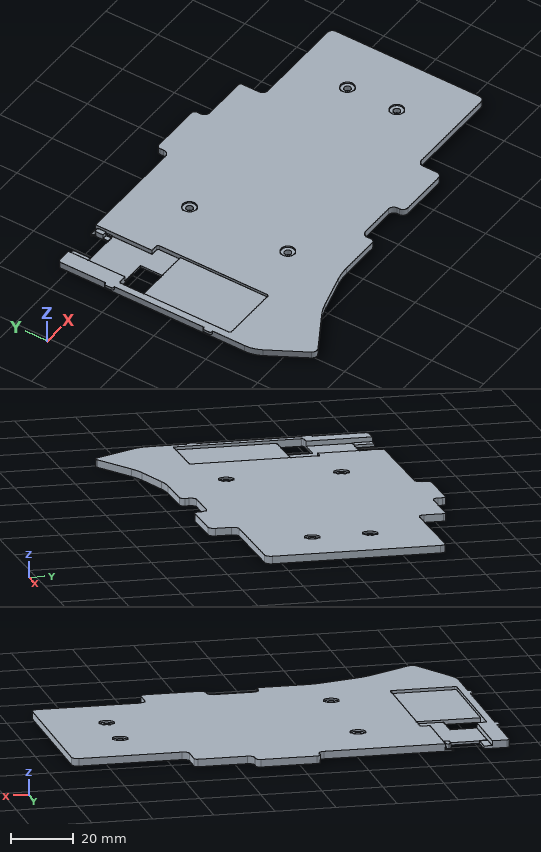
import cadquery as cq
import math

THICKNESS = 2.5
NUB_WIDTH = 3.4
NUB_PROTRUSION = 1.0
NUB_HEIGHT = 1.0
NUB_RADIUS = 0.7
OVERALL_LENGTH = 142
TONGUE_RIGHT = OVERALL_LENGTH - NUB_PROTRUSION
BODY_RIGHT = 103.3
BODY_BOTTOM = 14.3
BODY_TOP = 92.3
TONGUE_BOTTOM = 23.6
TONGUE_TOP = 83.0
TAB_LEFT = 62.9
TAB_RIGHT = 84.1
TAB_TOP = 97.2
NOTCH_LEFT = 65.0
NOTCH_RIGHT = 82.0
NOTCH_TOP = 19.2
CORNER_RADIUS = 2.0
TAB_RADIUS = 1.4
SMALL_RADIUS = 1.0

GRIP_LEFT_TOP = 17.2
GRIP_LEFT_RADIUS = 12.1
GRIP_BEND_X = 28.1
GRIP_BEND_RADIUS = 22.0
GRIP_STEEP = math.radians(60)
GRIP_RISE = math.radians(30)
GRIP_BEND_RISE = math.radians(15)
GRIP_TIP_Y = CORNER_RADIUS * (1 - math.sin(GRIP_STEEP) - math.cos(GRIP_STEEP))
GRIP_TIP_X = (GRIP_LEFT_TOP - GRIP_TIP_Y) / math.tan(GRIP_STEEP)
GRIP_BEND_Y = GRIP_TIP_Y + (GRIP_BEND_X - GRIP_TIP_X) * math.tan(GRIP_RISE)
GRIP_END_X = GRIP_BEND_X + (BODY_BOTTOM - GRIP_BEND_Y) / math.tan(GRIP_BEND_RISE)

POCKET_LEFT = 2.5
POCKET_RIGHT = 24.3
POCKET_BOTTOM = 27.5
POCKET_TOP = 70.5
POCKET_DEPTH = 1.0
POCKET_RADIUS = 0.7
WINDOW_RIGHT = 14.6
WINDOW_BOTTOM = 61.6
CHANNEL_LEFT = 5.8
CHANNEL_RIGHT = 21.2
CHANNEL_DEPTH = 1.7
MOUTH_LEFT = 8.5
MOUTH_RIGHT = 18.9
MOUTH_BOTTOM = 85.7
LEFT_LEDGE_DEPTH = 1.5
RIGHT_LEDGE_DEPTH = 2.0

LATCH_BOTTOM = 87.8
LATCH_TOP = 91.2
LATCH_DEPTH = 0.4
LATCH_RADIUS = 0.7
RAIL_LEFT = 20.6
RAIL_DEPTH = 1.4
HOOK_LEFT = 18.3
HOOK_BOTTOM = 91.6

HOLE_DIAMETER = 2.4
COUNTERBORE_DIAMETER = 5.0
COUNTERBORE_DEPTH = 0.5
LEFT_HOLE_X = 45.2
LEFT_HOLE_YS = (34.4, 72.3)
RIGHT_HOLE_X = 120.9
RIGHT_HOLE_YS = (43.8, 62.8)


def rounded_outline(corners):
    """Closed wire through (x, y, radius) corners, each rounded by a tangent arc."""
    outline = cq.Workplane()
    for index, (x, y, radius) in enumerate(corners):
        corner = cq.Vector(x, y)
        following = corners[(index + 1) % len(corners)]
        before = (cq.Vector(*corners[index - 1][:2]) - corner).normalized()
        after = (cq.Vector(*following[:2]) - corner).normalized()
        half_angle = before.getAngle(after) / 2
        tangent_length = radius / math.tan(half_angle)
        start = corner + before * tangent_length
        end = corner + after * tangent_length
        bisector = (before + after).normalized()
        middle = corner + bisector * (radius / math.sin(half_angle) - radius)
        if index == 0:
            outline = outline.moveTo(start.x, start.y)
        else:
            outline = outline.lineTo(start.x, start.y)
        outline = outline.threePointArc((middle.x, middle.y), (end.x, end.y))
    return outline.close()


def block(left, right, bottom, top, depth):
    """Box that reaches from the top face down by the given depth."""
    corner = (left, bottom, THICKNESS - depth)
    return cq.Workplane().box(right - left, top - bottom, depth, centered=False).translate(corner)


def plate():
    return rounded_outline([
        (0, GRIP_LEFT_TOP, GRIP_LEFT_RADIUS),
        (GRIP_TIP_X, GRIP_TIP_Y, CORNER_RADIUS),
        (GRIP_BEND_X, GRIP_BEND_Y, GRIP_BEND_RADIUS),
        (GRIP_END_X, BODY_BOTTOM, GRIP_BEND_RADIUS),
        (NOTCH_LEFT, BODY_BOTTOM, TAB_RADIUS),
        (NOTCH_LEFT, NOTCH_TOP, CORNER_RADIUS),
        (NOTCH_RIGHT, NOTCH_TOP, CORNER_RADIUS),
        (NOTCH_RIGHT, BODY_BOTTOM, CORNER_RADIUS),
        (BODY_RIGHT, BODY_BOTTOM, CORNER_RADIUS),
        (BODY_RIGHT, TONGUE_BOTTOM, CORNER_RADIUS),
        (TONGUE_RIGHT, TONGUE_BOTTOM, CORNER_RADIUS),
        (TONGUE_RIGHT, TONGUE_TOP, CORNER_RADIUS),
        (BODY_RIGHT, TONGUE_TOP, CORNER_RADIUS),
        (BODY_RIGHT, BODY_TOP, SMALL_RADIUS),
        (TAB_RIGHT, BODY_TOP, CORNER_RADIUS),
        (TAB_RIGHT, TAB_TOP, TAB_RADIUS),
        (TAB_LEFT, TAB_TOP, TAB_RADIUS),
        (TAB_LEFT, BODY_TOP, CORNER_RADIUS),
        (0, BODY_TOP, SMALL_RADIUS),
    ]).extrude(THICKNESS)


def side_nubs():
    """Rounded nubs on the left edge, level with the left screw holes."""
    nubs = cq.Workplane()
    for y in LEFT_HOLE_YS:
        nub = block(-NUB_PROTRUSION, NUB_PROTRUSION, y - NUB_WIDTH / 2, y + NUB_WIDTH / 2, NUB_HEIGHT)
        nubs = nubs.add(nub.edges("|Z and <X").fillet(NUB_RADIUS))
    return nubs.combine()


def recess():
    """Everything cut from the top: pocket, window, channel and the open mouth with its ledges."""
    pocket = block(POCKET_LEFT, POCKET_RIGHT, POCKET_BOTTOM, POCKET_TOP, POCKET_DEPTH)
    pocket = pocket.edges("|Z").fillet(POCKET_RADIUS)
    deep = block(POCKET_LEFT, POCKET_RIGHT, WINDOW_BOTTOM, POCKET_TOP, CHANNEL_DEPTH)
    deep = deep.edges("|Z and >Y").fillet(POCKET_RADIUS)
    window = block(POCKET_LEFT, WINDOW_RIGHT, WINDOW_BOTTOM, POCKET_TOP, THICKNESS)
    window = window.edges("|Z and <X and >Y").fillet(POCKET_RADIUS)
    channel = block(CHANNEL_LEFT, CHANNEL_RIGHT, POCKET_TOP, MOUTH_BOTTOM, CHANNEL_DEPTH)
    left_ledge = block(CHANNEL_LEFT, MOUTH_LEFT, MOUTH_BOTTOM, BODY_TOP, LEFT_LEDGE_DEPTH)
    right_ledge = block(MOUTH_RIGHT, CHANNEL_RIGHT, MOUTH_BOTTOM, BODY_TOP, RIGHT_LEDGE_DEPTH)
    mouth = block(MOUTH_LEFT, MOUTH_RIGHT, MOUTH_BOTTOM, BODY_TOP, THICKNESS)
    cutter = pocket
    for pocket_part in (deep, window, channel, left_ledge, right_ledge, mouth):
        cutter = cutter.union(pocket_part)
    return cutter


def raised_block(left, right, bottom, top, top_depth):
    """Box that stands on the bottom face and ends the given depth below the top face."""
    return (
        cq.Workplane()
        .box(right - left, top - bottom, THICKNESS - top_depth, centered=False)
        .translate((left, bottom, 0))
    )


def latch():
    """Round-ended latch block, the rail behind it and the hook at the open end of the mouth."""
    body = raised_block(MOUTH_RIGHT, RAIL_LEFT, LATCH_BOTTOM, LATCH_TOP, LATCH_DEPTH)
    body = body.edges("|Z and >Y").fillet(LATCH_RADIUS)
    rail = raised_block(RAIL_LEFT, CHANNEL_RIGHT, MOUTH_BOTTOM, HOOK_BOTTOM, RAIL_DEPTH)
    hook = raised_block(HOOK_LEFT, CHANNEL_RIGHT, HOOK_BOTTOM, BODY_TOP, RIGHT_LEDGE_DEPTH)
    return body.union(rail).union(hook)


left_holes = [(LEFT_HOLE_X, y) for y in LEFT_HOLE_YS]
right_holes = [(RIGHT_HOLE_X, y) for y in RIGHT_HOLE_YS]
result = (
    plate()
    .union(side_nubs())
    .cut(recess())
    .union(latch())
    .faces(">Z")
    .workplane(origin=(0, 0, THICKNESS))
    .pushPoints(left_holes + right_holes)
    .cboreHole(HOLE_DIAMETER, COUNTERBORE_DIAMETER, COUNTERBORE_DEPTH)
)